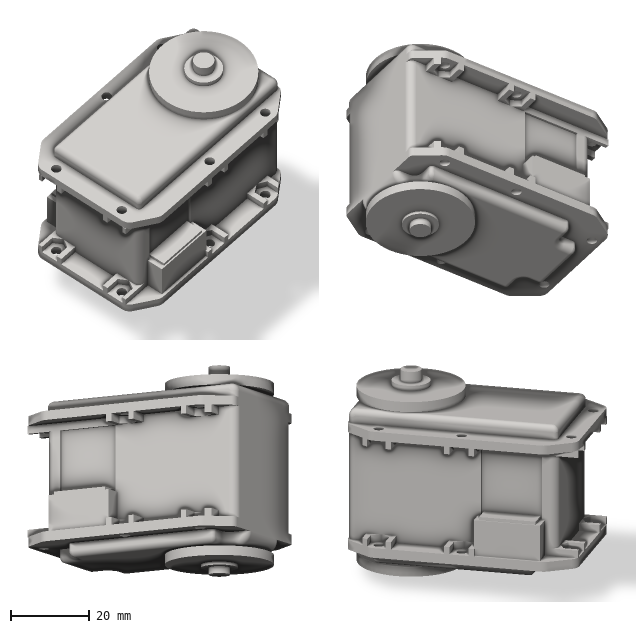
import cadquery as cq


case_half_width = 14.6
case_back = 13.0
case_front = -42.6
body_corner_radius = 2.0

lower_flange_thickness = 2.6
body_height = 29.0
upper_flange_thickness = 2.4
upper_cover_height = 3.6
lower_cover_height = 3.5
body_bottom = lower_flange_thickness
body_top = body_bottom + body_height
upper_cover_bottom = body_top + upper_flange_thickness
upper_cover_top = upper_cover_bottom + upper_cover_height
lower_cover_bottom = -lower_cover_height

flange_half_width = 20.1
flange_back = case_back
flange_front = -48.1
flange_corner_width = 5.1
flange_corner_length = 7.5
flange_corner_radius = 3.0
flange_back_corner_radius = 1.8

screw_diameter = 2.7
side_screw_x = 17.3
side_screw_ys = (4.0, -18.0)
front_screw_x = 11.0
front_screw_y = -45.4
pad_height = 2.0
recess_top = body_top - pad_height
pad_half_width = 4.0
front_pad_back = case_front + body_corner_radius
nut_across_flats = 5.0
nut_across_corners = 2 * nut_across_flats / 3 ** 0.5

cover_corner_radius = 1.0
upper_cover_edge_radius = 1.6
upper_cover_back_radius = 2.0
lower_cover_edge_radius = 1.5
lower_cover_back_radius = 3.4
notch_wall_x = 8.15
notch_front_wall_y = -36.3
notch_back_wall_y = 6.5
notch_inner_radius = 2.3

connector_mid_y = -30.5
connector_half_width = 19.3
connector_length = 17.6
connector_height = 9.5
lip_half_width = 18.9
lip_length = 15.0
lip_height = 0.85
recess_length = 16.2
recess_depth = 0.7

shaft_diameter = 5.5
disc_diameter = 28.0
upper_stack = ((11.0, 0.3), (disc_diameter, 2.7), (10.0, 1.4), (shaft_diameter, 3.0))
lower_stack = ((14.5, 0.5), (disc_diameter, 2.5), (9.5, 0.8), (shaft_diameter, 1.8))


def box(x_min, x_max, y_min, y_max, z_min, z_max):
    size = (x_max - x_min, y_max - y_min, z_max - z_min)
    return cq.Workplane("XY").box(*size, centered=False).translate((x_min, y_min, z_min))


def case_block(z_min, z_max):
    return box(-case_half_width, case_half_width, case_front, case_back, z_min, z_max)


def flange_blank(z, height):
    """Rectangular plate with four slanted corners."""
    inner_x = flange_half_width - flange_corner_width
    front_y = flange_front + flange_corner_length
    back_y = flange_back - flange_corner_length
    points = [
        (inner_x, flange_front), (flange_half_width, front_y),
        (flange_half_width, back_y), (inner_x, flange_back),
        (-inner_x, flange_back), (-flange_half_width, back_y),
        (-flange_half_width, front_y), (-inner_x, flange_front),
    ]
    return cq.Workplane("XY").workplane(offset=z).polyline(points).close().extrude(height)


def flange_plate(z, height):
    """Flange with rounded corners; the two corners at the back face are tighter."""
    plate = flange_blank(z, height)
    for face, radius in (
        ("<Y", flange_corner_radius),
        ("<X", flange_corner_radius),
        (">X", flange_corner_radius),
        (">Y", flange_back_corner_radius),
    ):
        plate = plate.faces(face).edges("|Z").fillet(radius)
    return plate


def nut_pocket(x, y, z, outward_angle):
    """Hexagonal nut seat with a slot running outward to the flange rim."""
    slot_length = flange_half_width
    seat = cq.Workplane("XY").polygon(6, nut_across_corners).extrude(pad_height)
    slot = cq.Workplane("XY").center(slot_length / 2, 0).rect(slot_length, nut_across_flats).extrude(pad_height)
    pocket = seat.union(slot)
    return pocket.rotate((0, 0, 0), (0, 0, 1), outward_angle).translate((x, y, z))


def nut_pads(z):
    """Pads around every flange screw, trimmed to the slanted flange corners."""
    z_top = z + pad_height
    pads = cq.Workplane("XY")
    for side in (-1, 1):
        x_min, x_max = sorted((0, side * flange_half_width))
        for y in side_screw_ys:
            pads = pads.union(box(x_min, x_max, y - pad_half_width, y + pad_half_width, z, z_top))
        x_min, x_max = sorted((side * (front_screw_x - pad_half_width), side * case_half_width))
        pads = pads.union(box(x_min, x_max, flange_front, front_pad_back, z, z_top))
    return pads.intersect(flange_blank(z, pad_height))


def nut_pockets(z):
    """Nut seats for every flange screw; their inner tips just nick the case wall."""
    pockets = cq.Workplane("XY")
    for side in (-1, 1):
        outward_angle = 0 if side > 0 else 180
        for y in side_screw_ys:
            pockets = pockets.union(nut_pocket(side * side_screw_x, y, z, outward_angle))
        pockets = pockets.union(nut_pocket(side * front_screw_x, front_screw_y, z, -90))
    return pockets


def screw_holes():
    points = [(side * side_screw_x, y) for side in (-1, 1) for y in side_screw_ys]
    points += [(side * front_screw_x, front_screw_y) for side in (-1, 1)]
    return cq.Workplane("XY").pushPoints(points).circle(screw_diameter / 2).extrude(upper_cover_bottom)


def upper_cover():
    cover = case_block(upper_cover_bottom, upper_cover_top)
    cover = cover.faces(">Z").edges(">Y").fillet(upper_cover_back_radius)
    cover = cover.faces(">Z").edges("<Y or <X or >X").fillet(upper_cover_edge_radius)
    return cover.edges("|Z and <Y").fillet(cover_corner_radius)


def corner_notch(x_side, y_side):
    """Block removed from one corner of the lower cover, rounded along its inner edge."""
    x_min, x_max = sorted((x_side * notch_wall_x, x_side * flange_half_width))
    if y_side > 0:
        y_min, y_max = notch_back_wall_y, case_back
    else:
        y_min, y_max = case_front, notch_front_wall_y
    inner_x = "<X" if x_side > 0 else ">X"
    inner_y = "<Y" if y_side > 0 else ">Y"
    block = box(x_min, x_max, y_min, y_max, lower_cover_bottom, 0)
    return block.edges("|Z").edges(inner_x).edges(inner_y).fillet(notch_inner_radius)


def lower_cover():
    """Lower cover with a notch cut out of each corner."""
    cover = case_block(lower_cover_bottom, 0)
    for x_side in (-1, 1):
        for y_side in (-1, 1):
            cover = cover.cut(corner_notch(x_side, y_side))
    cover = cover.faces("<Z").edges(">Y").fillet(lower_cover_back_radius)
    cover = cover.faces("<Z").edges().fillet(lower_cover_edge_radius)
    for outer_face in ("<X", ">X", "<Y"):
        cover = cover.faces(outer_face).edges("|Z").fillet(cover_corner_radius)
    return cover


def body():
    """Middle of the case with a shallow recess behind and above each connector."""
    block = case_block(0, upper_cover_bottom).edges("|Z").fillet(body_corner_radius)
    y_min = connector_mid_y - recess_length / 2
    y_max = connector_mid_y + recess_length / 2
    recess_x = case_half_width - recess_depth
    for x_min, x_max in ((-case_half_width, -recess_x), (recess_x, case_half_width)):
        block = block.cut(box(x_min, x_max, y_min, y_max, body_bottom, recess_top))
    return block


def connectors():
    """Connector blocks standing on the lower flange on both sides, each with a raised lip."""
    housing_top = body_bottom + connector_height
    housing = box(
        -connector_half_width, connector_half_width,
        connector_mid_y - connector_length / 2, connector_mid_y + connector_length / 2,
        body_bottom, housing_top,
    )
    lip = box(
        -lip_half_width, lip_half_width,
        connector_mid_y - lip_length / 2, connector_mid_y + lip_length / 2,
        housing_top, housing_top + lip_height,
    )
    bodies = housing.union(lip)
    inside = box(
        recess_depth - case_half_width, case_half_width - recess_depth,
        case_front, case_back, body_bottom, recess_top,
    )
    return bodies.cut(inside)


def output_stack(z_start, steps, direction):
    """Coaxial discs piled up from z_start; direction is 1 for upward, -1 for downward."""
    stack = cq.Workplane("XY")
    z = z_start
    for diameter, thickness in steps:
        disc = cq.Workplane("XY").workplane(offset=z).circle(diameter / 2).extrude(direction * thickness)
        stack = stack.union(disc)
        z += direction * thickness
    return stack


result = (
    body()
    .union(flange_plate(0, lower_flange_thickness))
    .union(flange_plate(body_top, upper_flange_thickness))
    .union(nut_pads(body_bottom))
    .union(nut_pads(recess_top))
    .cut(nut_pockets(body_bottom))
    .cut(nut_pockets(recess_top))
    .union(connectors())
    .cut(screw_holes())
    .union(upper_cover())
    .union(lower_cover())
    .union(output_stack(upper_cover_top, upper_stack, 1))
    .union(output_stack(lower_cover_bottom, lower_stack, -1))
)